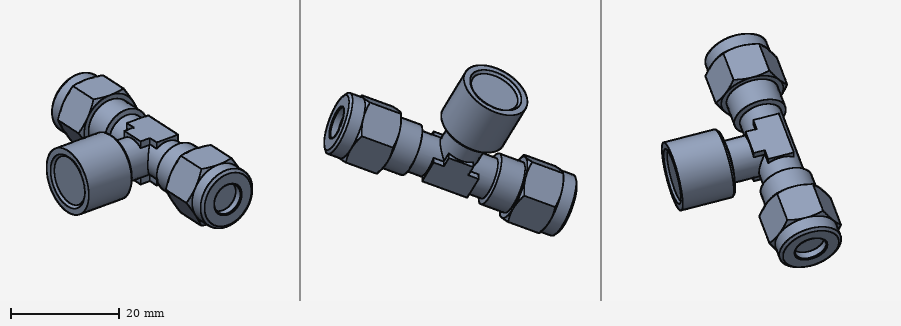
import cadquery as cq
import math

RUN_LENGTH = 46.5
BRANCH_REACH = 19.5
RUN_END = RUN_LENGTH / 2

TUBE_DIAMETER = 8.0

PAD_HEIGHT = 4.55
PAD_BAR_HALF_LENGTH = 4.6
PAD_BAR_BACK = 2.55
PAD_BAR_FRONT = -2.4
PAD_STEM_HALF_WIDTH = 2.5
PAD_STEM_FRONT = -4.55

SPIGOT_DIAMETER = 10.0
SPIGOT_START = 7.8
SPIGOT_CONE_ANGLE = 15.0

HEX_ACROSS_FLATS = 12.0
HEX_LENGTH = 7.4
HEX_BEVEL_ANGLE = 30.0
HEX_SIDES = 6
COLLAR_DIAMETER = HEX_ACROSS_FLATS
COLLAR_LENGTH = 3.0
COLLAR_CHAMFER_LENGTH = 0.45
COLLAR_CHAMFER_DEPTH = 0.6
NUT_BORE_DIAMETER = 6.0
NUT_BORE_CHAMFER = 0.2
NUT_BORE_DEPTH = 1.6

PORT_DIAMETER = 13.0
PORT_LENGTH = 9.85
PORT_CHAMFER = 0.45
PORT_CONE_ANGLE = 13.0
PORT_MOUTH_DIAMETER = 10.5
PORT_FLOOR_DIAMETER = 9.5
PORT_DEPTH = 0.5


def revolve_about_x(points):
    """Solid of revolution about X from (x, radius) points."""
    return cq.Workplane("XY").polyline(points).close().revolve(360, (0, 0, 0), (1, 0, 0))


def revolve_about_y(points):
    """Solid of revolution about Y from (radius, y) points."""
    return cq.Workplane("XY").polyline(points).close().revolve(360, (0, 0, 0), (0, 1, 0))


def make_tee_body():
    """Run tube and branch tube, joined, with their wrench pads."""
    radius = TUBE_DIAMETER / 2
    run_half_length = RUN_END - COLLAR_LENGTH - HEX_LENGTH
    run = cq.Workplane("YZ").circle(radius).extrude(run_half_length, both=True)
    branch = cq.Workplane("XZ").circle(radius).extrude(BRANCH_REACH - PORT_LENGTH)
    pads = (
        cq.Workplane("XY")
        .moveTo(-PAD_BAR_HALF_LENGTH, PAD_BAR_BACK)
        .lineTo(PAD_BAR_HALF_LENGTH, PAD_BAR_BACK)
        .lineTo(PAD_BAR_HALF_LENGTH, PAD_BAR_FRONT)
        .lineTo(PAD_STEM_HALF_WIDTH, PAD_BAR_FRONT)
        .lineTo(PAD_STEM_HALF_WIDTH, PAD_STEM_FRONT)
        .lineTo(-PAD_STEM_HALF_WIDTH, PAD_STEM_FRONT)
        .lineTo(-PAD_STEM_HALF_WIDTH, PAD_BAR_FRONT)
        .lineTo(-PAD_BAR_HALF_LENGTH, PAD_BAR_FRONT)
        .close()
        .extrude(PAD_HEIGHT, both=True)
    )
    return run.union(branch).union(pads)


def make_hexagon():
    """Nut hexagon with corners on +Y and -Y, bevelled to its flats' circle at both ends."""
    inner_end = RUN_END - COLLAR_LENGTH - HEX_LENGTH
    outer_end = RUN_END - COLLAR_LENGTH
    flat_radius = HEX_ACROSS_FLATS / 2
    corner_radius = flat_radius / math.cos(math.pi / HEX_SIDES)
    bevel_length = (corner_radius - flat_radius) * math.tan(math.radians(HEX_BEVEL_ANGLE))
    prism = (
        cq.Workplane("YZ", origin=(inner_end, 0, 0))
        .polygon(HEX_SIDES, 2 * corner_radius)
        .extrude(HEX_LENGTH)
    )
    envelope = revolve_about_x([
        (inner_end, 0),
        (inner_end, flat_radius),
        (inner_end + bevel_length, corner_radius),
        (outer_end - bevel_length, corner_radius),
        (outer_end, flat_radius),
        (outer_end, 0),
    ])
    return prism.intersect(envelope)


def make_run_fitting():
    """Spigot, hexagon and bored collar at the +X end of the run."""
    spigot_radius = SPIGOT_DIAMETER / 2
    tube_radius = TUBE_DIAMETER / 2
    cone_length = (spigot_radius - tube_radius) * math.tan(math.radians(SPIGOT_CONE_ANGLE))
    collar_radius = COLLAR_DIAMETER / 2
    bore_radius = NUT_BORE_DIAMETER / 2
    collar_start = RUN_END - COLLAR_LENGTH
    spigot = revolve_about_x([
        (SPIGOT_START, 0),
        (SPIGOT_START, tube_radius),
        (SPIGOT_START + cone_length, spigot_radius),
        (collar_start, spigot_radius),
        (collar_start, 0),
    ])
    collar = revolve_about_x([
        (collar_start, 0),
        (collar_start, collar_radius),
        (RUN_END - COLLAR_CHAMFER_LENGTH, collar_radius),
        (RUN_END, collar_radius - COLLAR_CHAMFER_DEPTH),
        (RUN_END, 0),
    ])
    bore = revolve_about_x([
        (RUN_END, 0),
        (RUN_END, bore_radius + NUT_BORE_CHAMFER),
        (RUN_END - NUT_BORE_CHAMFER, bore_radius),
        (RUN_END - NUT_BORE_DEPTH, bore_radius),
        (RUN_END - NUT_BORE_DEPTH, 0),
    ])
    return spigot.union(make_hexagon()).union(collar).cut(bore)


def make_port():
    """Female port on the branch: coned and chamfered shoulder, cylinder and tapered recess."""
    radius = PORT_DIAMETER / 2
    chamfer_start = PORT_LENGTH - BRANCH_REACH
    cone_start = chamfer_start + PORT_CHAMFER
    cone_radius = radius - PORT_CHAMFER
    tube_radius = TUBE_DIAMETER / 2
    cone_end = cone_start + (cone_radius - tube_radius) * math.tan(math.radians(PORT_CONE_ANGLE))
    outside = revolve_about_y([
        (0, cone_end),
        (tube_radius, cone_end),
        (cone_radius, cone_start),
        (radius, chamfer_start),
        (radius, -BRANCH_REACH),
        (0, -BRANCH_REACH),
    ])
    recess = revolve_about_y([
        (0, -BRANCH_REACH),
        (PORT_MOUTH_DIAMETER / 2, -BRANCH_REACH),
        (PORT_FLOOR_DIAMETER / 2, PORT_DEPTH - BRANCH_REACH),
        (0, PORT_DEPTH - BRANCH_REACH),
    ])
    return outside.cut(recess)


fitting = make_run_fitting()
result = make_tee_body().union(fitting).union(fitting.mirror("YZ")).union(make_port())